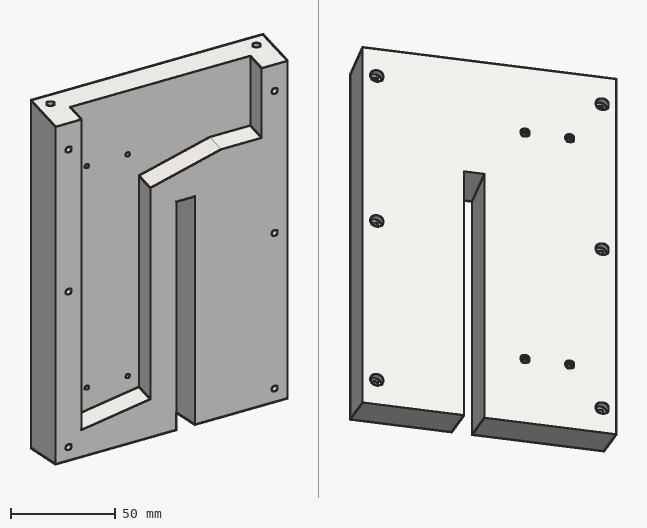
import cadquery as cq
import math

thickness = 26.0
width = 125.0
height = 200.0
bottom_rise = 6.0

plate_thickness = 14.0
rail_width = 14.0
ledge_inner_y = 89.2
step_y = 51.0
ledge_z = 160.0
steep_drop = 10.5
slope_foot_z = ledge_z - steep_drop
step_foot_z = 28.0
gentle_drop = 6.5

slot_width = 10.0
slot_start_y = 65.0
slot_top_z = 137.2

mount_edge = 7.0
mount_ys = (mount_edge, width - mount_edge)
mount_heights = (13.8, 103.2, 184.8)
mount_diameter = 3.2
mount_bore_diameter = 6.5
mount_bore_depth = 4.0

small_ys = (23.0, 45.0)
small_heights = (36.0, 163.5)
small_diameter = 2.2
small_bore_diameter = 4.5
small_bore_depth = 2.0

top_hole_diameter = 4.0
top_hole_depth = 20.0
drill_point_angle = 118.0
top_hole_x = mount_edge


def make_block():
    """Block with a sloping underside."""
    side = [(0, 0), (thickness, bottom_rise), (thickness, height), (0, height)]
    return cq.Workplane("XZ").polyline(side).close().extrude(-width)


def make_recess():
    """Recess with a level ledge, a steep slope, a tall step and a gentle slope."""
    outline = [
        (rail_width, height),
        (width - rail_width, height),
        (width - rail_width, ledge_z),
        (ledge_inner_y, ledge_z),
        (step_y, slope_foot_z),
        (step_y, step_foot_z),
        (rail_width, step_foot_z - gentle_drop),
    ]
    depth = thickness - plate_thickness
    floor_plane = cq.Workplane("YZ", origin=(plate_thickness, 0, 0))
    return floor_plane.polyline(outline).close().extrude(depth)


def make_slot():
    """Slot through the whole thickness."""
    slot = cq.Workplane("XY").box(thickness, slot_width, slot_top_z, centered=False)
    return slot.translate((0, slot_start_y, 0))


def make_counterbored_holes(points, diameter, bore_diameter, bore_depth):
    """Through holes along X, counterbored from the front plate face."""
    centers = cq.Workplane("YZ").pushPoints(points)
    shanks = centers.circle(diameter / 2).extrude(thickness)
    bores = centers.circle(bore_diameter / 2).extrude(bore_depth)
    return shanks.union(bores)


def make_top_holes():
    """Blind holes with conical drill points, down into the top corners."""
    radius = top_hole_diameter / 2
    straight_z = height - top_hole_depth
    tip_z = straight_z - radius / math.tan(math.radians(drill_point_angle / 2))
    half_section = [(0, height), (radius, height), (radius, straight_z), (0, tip_z)]
    drill = cq.Workplane("XZ").polyline(half_section).close().revolve(360, (0, 0), (0, 1))
    holes = cq.Workplane("XY")
    for y in mount_ys:
        holes = holes.add(drill.translate((top_hole_x, y, 0)))
    return holes.combine()


mount_points = [(y, z) for y in mount_ys for z in mount_heights]
small_points = [(y, z) for y in small_ys for z in small_heights]

result = (
    make_block()
    .cut(make_recess())
    .cut(make_slot())
    .cut(make_counterbored_holes(mount_points, mount_diameter, mount_bore_diameter, mount_bore_depth))
    .cut(make_counterbored_holes(small_points, small_diameter, small_bore_diameter, small_bore_depth))
    .cut(make_top_holes())
)